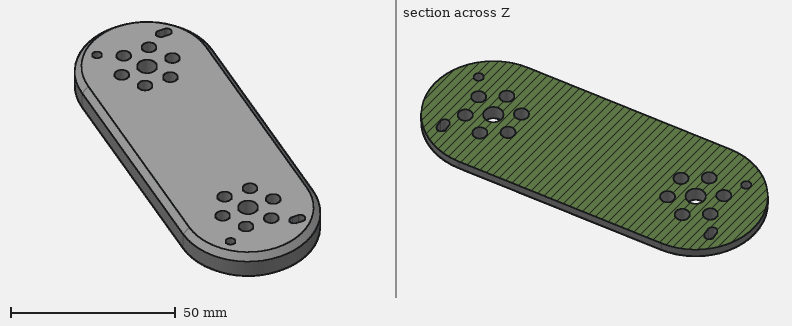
import cadquery as cq

length = 114.0
width = 44.0
thickness = 10.0
edge_chamfer = 2.0
end_center_x = (length - width) / 2

center_hole_diameter = 6.0
ring_hole_diameter = 4.5
ring_hole_count = 6
ring_radius = 8.5

outer_x = 46.3
pin_hole_diameter = 3.0
pin_hole_y = -11.4
slot_width = 3.0
slot_length = 5.0
slot_y = 11.2


def through_holes(points, diameter):
    """Vertical cylinders through the full thickness at the given points."""
    return cq.Workplane("XY").pushPoints(points).circle(diameter / 2).extrude(thickness)


def hole_ring(center_x):
    """Ring holes, the first one on the Y axis of the ring."""
    return (
        cq.Workplane("XY")
        .center(center_x, 0)
        .polarArray(ring_radius, 90, 360, ring_hole_count)
        .circle(ring_hole_diameter / 2)
        .extrude(thickness)
    )


plate = cq.Workplane("XY").slot2D(length, width).extrude(thickness)
plate = plate.faces("<Z or >Z").chamfer(edge_chamfer)

slots = (
    cq.Workplane("XY")
    .pushPoints([(-outer_x, slot_y), (outer_x, slot_y)])
    .slot2D(slot_length, slot_width, 90)
    .extrude(thickness)
)

result = (
    plate
    .cut(through_holes([(-end_center_x, 0), (end_center_x, 0)], center_hole_diameter))
    .cut(through_holes([(-outer_x, pin_hole_y), (outer_x, pin_hole_y)], pin_hole_diameter))
    .cut(hole_ring(-end_center_x))
    .cut(hole_ring(end_center_x))
    .cut(slots)
)